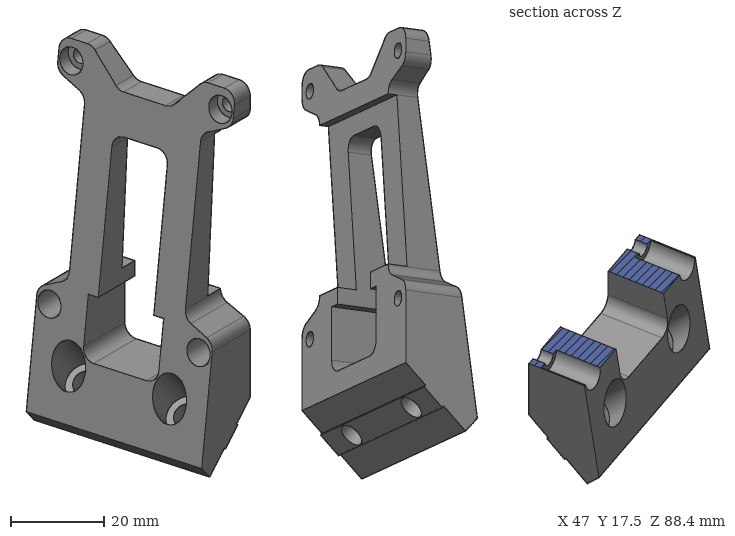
import cadquery as cq
import math

WIDTH = 47.0
DEPTH = 17.5
HEIGHT = 88.4
HALF_WIDTH = WIDTH / 2

TOP_THICKNESS = 5.3
FRONT_EDGE_Z = 3.2
TIP_DEPTH = 14.6
BACK_EDGE_Z = 13.4

CORNER_RADIUS = 3.0
LEG_HALF_WIDTH = 15.55
LUG_SLOPE_DROP = 3.6
LUG_EDGE_OFFSET = 3.0
TOP_NOTCH_Z = 80.3
TOP_NOTCH_HALF_WIDTH = 6.9

LUG_HOLE_X = 20.0
LOWER_HOLE_Z = 28.5
UPPER_HOLE_Z = 83.4
LUG_HOLE_DIAMETER = 3.4
LUG_HEAD_DIAMETER = 6.2
LUG_FLOOR_THICKNESS = 3.0

WINDOW_TOP_Z = 70.4
WINDOW_STEP_Z = 33.4
WINDOW_BOTTOM_Z = 18.6
WINDOW_HALF_WIDTH = 7.4
WINDOW_WIDE_HALF_WIDTH = 10.1
WINDOW_RADIUS = 3.0

RELIEF_BOTTOM_Z = 37.1
RELIEF_TOP_Z = 74.9
RELIEF_BOTTOM_DEPTH = 4.6
RELIEF_TOP_DEPTH = 2.1

TONGUE_WIDTH = 6.0
TONGUE_HEIGHT = 0.5
MOUNT_CENTER_DEPTH = 7.1
MOUNT_SCREW_X = 13.5
MOUNT_HOLE_DIAMETER = 5.5
MOUNT_HEAD_DIAMETER = 9.0
MOUNT_FLOOR_THICKNESS = 4.3

underside_angle = math.atan2(BACK_EDGE_Z, TIP_DEPTH)
mount_center_z = BACK_EDGE_Z * (1 - MOUNT_CENTER_DEPTH / TIP_DEPTH)
underside = cq.Plane(
    origin=(0, -MOUNT_CENTER_DEPTH, mount_center_z),
    xDir=(1, 0, 0),
    normal=(0, -math.sin(underside_angle), math.cos(underside_angle)),
)


def mirrored_outline(right_side):
    """Close a right-hand point list with its mirror image about x = 0."""
    left_side = [(-x, z) for x, z in reversed(right_side)]
    return right_side + left_side


def extrude_across(profile, width):
    """Extrude a (y, z) profile across the width, centered on x = 0."""
    return cq.Workplane("YZ").polyline(profile).close().extrude(width / 2, both=True)


def extrude_back_to_front(outline):
    """Extrude an (x, z) outline through the full depth."""
    return cq.Workplane("XZ").polyline(outline).close().extrude(DEPTH)


def make_wedge():
    return extrude_across(
        [
            (0, HEIGHT),
            (-TOP_THICKNESS, HEIGHT),
            (-DEPTH, FRONT_EDGE_Z),
            (-TIP_DEPTH, 0),
            (0, BACK_EDGE_Z),
        ],
        WIDTH,
    )


def make_front_outline():
    lower_lug_z = LOWER_HOLE_Z + LUG_EDGE_OFFSET
    upper_lug_z = UPPER_HOLE_Z - LUG_EDGE_OFFSET
    notch_top_half_width = TOP_NOTCH_HALF_WIDTH + HEIGHT - TOP_NOTCH_Z
    outline = mirrored_outline(
        [
            (HALF_WIDTH, 0),
            (HALF_WIDTH, lower_lug_z),
            (LEG_HALF_WIDTH, lower_lug_z + LUG_SLOPE_DROP),
            (LEG_HALF_WIDTH, upper_lug_z - LUG_SLOPE_DROP),
            (HALF_WIDTH, upper_lug_z),
            (HALF_WIDTH, HEIGHT),
            (notch_top_half_width, HEIGHT),
            (TOP_NOTCH_HALF_WIDTH, TOP_NOTCH_Z),
        ]
    )
    above_base = cq.selectors.BoxSelector((-WIDTH, -DEPTH, 0.9), (WIDTH, 0, HEIGHT + 0.9))
    return extrude_back_to_front(outline).edges("|Y").edges(above_base).fillet(CORNER_RADIUS)


def make_window():
    outline = mirrored_outline(
        [
            (WINDOW_WIDE_HALF_WIDTH, WINDOW_BOTTOM_Z),
            (WINDOW_WIDE_HALF_WIDTH, WINDOW_STEP_Z),
            (WINDOW_HALF_WIDTH, WINDOW_STEP_Z),
            (WINDOW_HALF_WIDTH, WINDOW_TOP_Z),
        ]
    )
    window = extrude_back_to_front(outline)
    return window.faces("<Z or >Z").edges("|Y").fillet(WINDOW_RADIUS)


def make_back_relief():
    return extrude_across(
        [
            (0, RELIEF_BOTTOM_Z),
            (-RELIEF_BOTTOM_DEPTH, RELIEF_BOTTOM_Z),
            (-RELIEF_TOP_DEPTH, RELIEF_TOP_Z),
            (0, RELIEF_TOP_Z),
        ],
        WIDTH,
    )


def make_lug_holes():
    centers = [(x, z) for x in (-LUG_HOLE_X, LUG_HOLE_X) for z in (LOWER_HOLE_Z, UPPER_HOLE_Z)]
    back = cq.Workplane("XZ").pushPoints(centers)
    holes = back.circle(LUG_HOLE_DIAMETER / 2).extrude(DEPTH)
    floor = cq.Workplane("XZ", origin=(0, -LUG_FLOOR_THICKNESS, 0)).pushPoints(centers)
    return holes.union(floor.circle(LUG_HEAD_DIAMETER / 2).extrude(DEPTH))


def make_tongue():
    return cq.Workplane(underside).box(WIDTH, TONGUE_WIDTH, 2 * TONGUE_HEIGHT)


def make_mount_holes():
    centers = [(-MOUNT_SCREW_X, 0), (MOUNT_SCREW_X, 0)]
    bottom = cq.Workplane(underside).workplane(offset=-2 * TONGUE_HEIGHT).pushPoints(centers)
    holes = bottom.circle(MOUNT_HOLE_DIAMETER / 2).extrude(DEPTH)
    floor = cq.Workplane(underside).workplane(offset=MOUNT_FLOOR_THICKNESS).pushPoints(centers)
    return holes.union(floor.circle(MOUNT_HEAD_DIAMETER / 2).extrude(DEPTH))


result = (
    make_wedge()
    .intersect(make_front_outline())
    .cut(make_window())
    .cut(make_back_relief())
    .union(make_tongue())
    .cut(make_lug_holes())
    .cut(make_mount_holes())
)